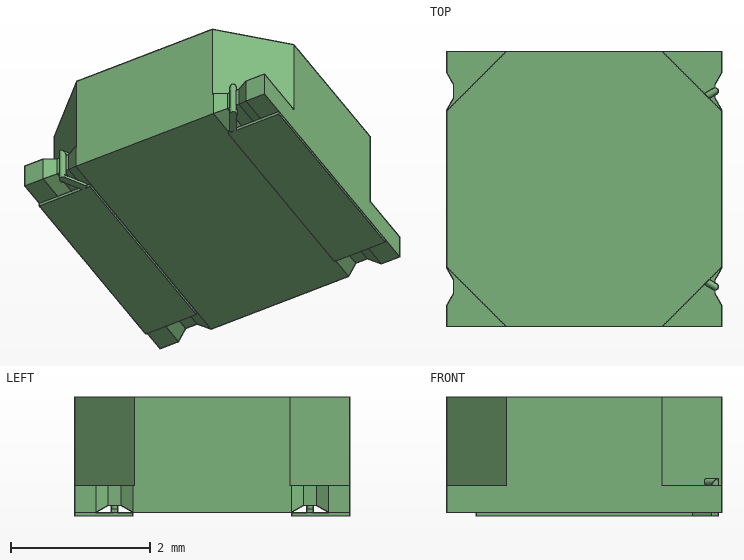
import cadquery as cq
import math

side = 3.95
total_height = 1.71
core_bottom = 0.05
base_top = 0.442
corner_cut = 0.857

relief_depth = 0.1
relief_floor = 0.19
relief_mouth = 0.537
relief_from_edge = 0.573
relief_y = side / 2 - relief_from_edge

pad_length = 3.105
pad_width = 0.837
pad_thickness = core_bottom
wire_diameter = 0.1
wire_radius = wire_diameter / 2
wire_angle = 30.0
wire_x = 1.875
wire_axis_z = base_top + wire_radius
wire_reach = 0.395
foot_height = 0.1
arm_length = (wire_x - pad_length / 2) / math.cos(math.radians(wire_angle))


def make_block():
    """Octagonal block: a square prism with its four vertical edges cut off."""
    return (
        cq.Workplane("XY")
        .workplane(offset=core_bottom)
        .rect(side, side)
        .extrude(total_height - core_bottom)
        .edges("|Z")
        .chamfer(corner_cut)
    )


def relief_outline(workplane):
    """Trapezoid with its mouth on the local X axis and its floor above it."""
    return workplane.polyline([
        (-relief_mouth / 2, 0),
        (-relief_floor / 2, relief_depth),
        (relief_floor / 2, relief_depth),
        (relief_mouth / 2, 0),
    ]).close()


def make_base():
    """Square base with a notch at each end of its two lengthwise grooves."""
    base = (
        cq.Workplane("XY")
        .workplane(offset=core_bottom)
        .rect(side, side)
        .extrude(base_top - core_bottom)
    )
    notch = relief_outline(cq.Workplane("XY")).extrude(base_top)
    for y in (-relief_y, relief_y):
        base = base.cut(notch.rotate((0, 0, 0), (0, 0, 1), 90).translate((side / 2, y, 0)))
        base = base.cut(notch.rotate((0, 0, 0), (0, 0, 1), -90).translate((-side / 2, y, 0)))
    return base


def cut_grooves(body):
    """Cut the two grooves along the underside, from one X side to the other."""
    for y in (-relief_y, relief_y):
        plane = cq.Plane(origin=(-side / 2, y, core_bottom), xDir=(0, 1, 0), normal=(1, 0, 0))
        body = body.cut(relief_outline(cq.Workplane(plane)).extrude(side))
    return body


def make_wire():
    """Wire end about a post on the Z axis, with its arm and top leg pointing along -X."""
    post = cq.Workplane("XY").circle(wire_radius).extrude(wire_axis_z + wire_radius)
    leg = (
        cq.Workplane("YZ", origin=(wire_radius, 0, wire_axis_z))
        .circle(wire_radius)
        .extrude(-wire_reach - wire_radius)
    )
    post_limit = (
        cq.Workplane("XZ")
        .polyline([
            (-wire_radius, 0),
            (wire_radius, 0),
            (wire_radius, wire_axis_z + wire_radius),
            (-wire_radius, wire_axis_z - wire_radius),
        ])
        .close()
        .extrude(wire_radius, both=True)
    )
    leg_limit = (
        cq.Workplane("XZ")
        .polyline([
            (-wire_reach, wire_axis_z - wire_radius),
            (-wire_radius, wire_axis_z - wire_radius),
            (wire_radius, wire_axis_z + wire_radius),
            (-wire_reach, wire_axis_z + wire_radius),
        ])
        .close()
        .extrude(wire_radius, both=True)
    )
    arm = (
        cq.Workplane("XY")
        .center(-arm_length / 2, 0)
        .rect(arm_length, wire_diameter)
        .extrude(pad_thickness)
    )
    return post.intersect(post_limit).union(leg.intersect(leg_limit)).union(arm)


def make_terminal(block):
    """Terminal at the -Y edge, its top leg ending on the face of the block."""
    pad = (
        cq.Workplane("XY")
        .center(0, -(side - pad_width) / 2)
        .rect(pad_length, pad_width)
        .extrude(pad_thickness)
    )
    wire = (
        make_wire()
        .rotate((0, 0, 0), (0, 0, 1), -wire_angle)
        .translate((wire_x, -relief_y, 0))
        .cut(block)
    )
    foot = (
        cq.Workplane("XY")
        .center(wire_x - wire_radius / 2, -relief_y)
        .rect(wire_radius, wire_diameter)
        .extrude(foot_height)
    )
    return pad.union(wire).union(foot)


block = make_block()
front_terminal = make_terminal(block)
terminals = [front_terminal, front_terminal.mirror("XZ")]

core = cut_grooves(block.union(make_base()))
for terminal in terminals:
    core = core.cut(terminal)

result = cq.Compound.makeCompound([core.val(), *[terminal.val() for terminal in terminals]])